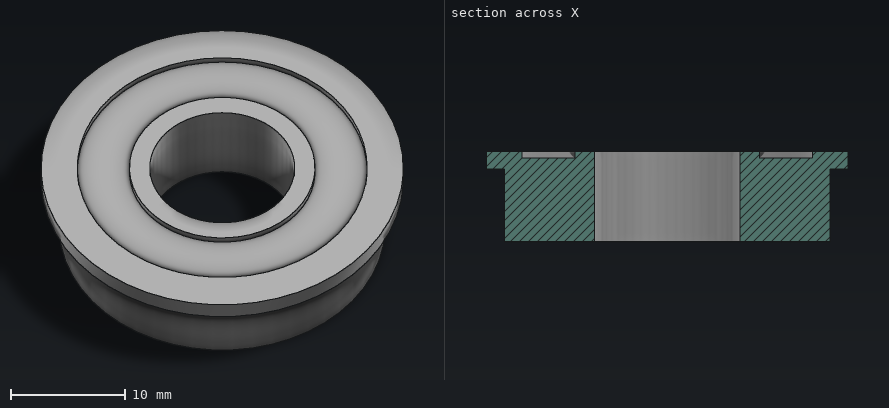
import cadquery as cq

flange_diameter = 31.75
flange_thickness = 1.6
body_diameter = 28.58
total_height = 7.95
bore_diameter = 12.7

inner_ring_diameter = 16.25
outer_ring_inner_diameter = 25.4
recess_depth = 0.57


def ring(outer_diameter, inner_diameter, bottom, height):
    """Flat ring around the Z axis, starting at the given height."""
    return (
        cq.Workplane("XY", origin=(0, 0, bottom))
        .circle(outer_diameter / 2)
        .circle(inner_diameter / 2)
        .extrude(height)
    )


body = ring(body_diameter, bore_diameter, 0, total_height)
flange = ring(flange_diameter, bore_diameter, total_height - flange_thickness, flange_thickness)
recess = ring(outer_ring_inner_diameter, inner_ring_diameter, total_height - recess_depth, recess_depth)

result = body.union(flange).cut(recess)